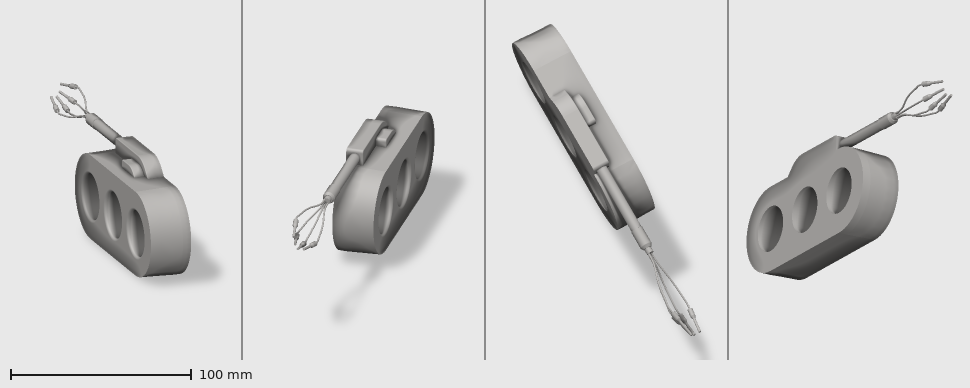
import cadquery as cq
import math


BORE_PITCH = 35.4
BORE_COUNT = 3
END_RADIUS = 25.0
BACK_DEPTH = 4.85
FRONT_DEPTH = 18.75
FRONT_DRAFT = 2.0
BACK_DRAFT = 0.8
BORE_DIAMETER = 26.2
BORE_RIM_FILLET = 1.5

ENTRY_LEFT = -33.0
ENTRY_TOP = 33.9
ENTRY_ARC_START = 2.1
ENTRY_ARC_RADIUS = 16.0
ENTRY_FRONT = -BACK_DEPTH

LUG_LEFT = -7.7
LUG_TOP = 29.5
LUG_ARC_START = 2.8
LUG_ARC_RADIUS = 11.0
LUG_FRONT = -10.7

EMBED_DEPTH = 2.0

LEFT_FILLET = 1.7
FRONT_FILLET = 0.5
RAMP_ANGLE = math.radians(45)
BLOCK_ROOT = END_RADIUS - EMBED_DEPTH

CABLE_Z = 28.75
CABLE_DIAMETER = 6.2
SLEEVE_DIAMETER = 6.9
SLEEVE_RIGHT = -73.0
SLEEVE_LEFT = -83.4
CONE_LEFT = -85.1
CONE_TIP_DIAMETER = 5.0
CORE_DIAMETER = 4.0
CORE_LEFT = -88.3

LEADS = (
    (38.0, 0.985),
    (-32.0, 0.84),
    (-77.0, 1.0),
    (-120.0, 1.03),
)
WIRE_DIAMETER = 1.0
WIRE_START_OFFSET = 1.4
WIRE_PATH = (
    (-95.0, 2.0),
    (-103.0, 5.1),
    (-111.0, 7.4),
    (-119.0, 8.7),
    (-125.4, 8.5),
)
FERRULE_ANGLE = math.radians(15)
COLLAR_DIAMETER = 2.9
COLLAR_LENGTH = 4.6
COLLAR_CONE_LENGTH = 1.7
PIN_DIAMETER = 1.5
PIN_LENGTH = 9.05


def stadium_prism(depth, draft):
    """Rounded-end slab growing from the parting plane toward -Y (or +Y for a negative depth)."""
    straight = BORE_PITCH * (BORE_COUNT - 1)
    outline = cq.Workplane("XZ").slot2D(straight + 2 * END_RADIUS, 2 * END_RADIUS)
    return outline.extrude(depth, taper=draft)


def ramped_block(left, top, arc_start, arc_radius, front, back):
    """Block on top of the housing whose right end curves down into a 45 degree ramp."""
    mid_angle = RAMP_ANGLE / 2
    arc_centre_z = top - arc_radius
    ramp_x = arc_start + arc_radius * math.sin(RAMP_ANGLE)
    ramp_z = arc_centre_z + arc_radius * math.cos(RAMP_ANGLE)
    arc_middle = (
        arc_start + arc_radius * math.sin(mid_angle),
        arc_centre_z + arc_radius * math.cos(mid_angle),
    )
    foot_x = ramp_x + (ramp_z - BLOCK_ROOT) / math.tan(RAMP_ANGLE)
    block = (
        cq.Workplane("XZ", origin=(0, back, 0))
        .moveTo(left, BLOCK_ROOT)
        .lineTo(left, top)
        .lineTo(arc_start, top)
        .threePointArc(arc_middle, (ramp_x, ramp_z))
        .lineTo(foot_x, BLOCK_ROOT)
        .close()
        .extrude(back - front)
    )
    block = block.faces("<X").edges(">Z").fillet(LEFT_FILLET)
    return block.faces("<Y").edges("not <Z").fillet(FRONT_FILLET)


def cable_cylinder(left, right, diameter):
    """Round length of cable along X."""
    disc = cq.Workplane("YZ", origin=(left, 0, CABLE_Z)).circle(diameter / 2)
    return disc.extrude(right - left)


def make_cable():
    cable = cable_cylinder(SLEEVE_RIGHT, ENTRY_LEFT + EMBED_DEPTH, CABLE_DIAMETER)
    sleeve = cable_cylinder(SLEEVE_LEFT, SLEEVE_RIGHT, SLEEVE_DIAMETER)
    core = cable_cylinder(CORE_LEFT, SLEEVE_LEFT, CORE_DIAMETER)
    cone = cq.Workplane(
        cq.Solid.makeCone(
            CONE_TIP_DIAMETER / 2,
            SLEEVE_DIAMETER / 2,
            SLEEVE_LEFT - CONE_LEFT,
            cq.Vector(CONE_LEFT, 0, CABLE_Z),
            cq.Vector(1, 0, 0),
        )
    )
    return cable.union(sleeve).union(cone).union(core)


def make_transformer():
    """Housing with its cable entry and the moulded-in cable."""
    body = stadium_prism(FRONT_DEPTH, FRONT_DRAFT).union(stadium_prism(-BACK_DEPTH, BACK_DRAFT))

    bores = (
        cq.Workplane("XZ", origin=(0, BACK_DEPTH, 0))
        .rarray(BORE_PITCH, 1, BORE_COUNT, 1)
        .circle(BORE_DIAMETER / 2)
        .extrude(BACK_DEPTH + FRONT_DEPTH)
    )
    body = body.cut(bores)
    bore_rims = body.faces("<Y").edges("%CIRCLE").edges(cq.selectors.RadiusNthSelector(0))
    body = bore_rims.fillet(BORE_RIM_FILLET)

    entry = ramped_block(ENTRY_LEFT, ENTRY_TOP, ENTRY_ARC_START, ENTRY_ARC_RADIUS, ENTRY_FRONT, BACK_DEPTH)
    lug = ramped_block(LUG_LEFT, LUG_TOP, LUG_ARC_START, LUG_ARC_RADIUS, LUG_FRONT, 0)
    return body.union(entry).union(lug).union(make_cable())


def make_lead(angle, spread):
    """One wire with its ferrule, bent away from the cable axis in the direction of angle."""
    points = [cq.Vector(CORE_LEFT, 0, CABLE_Z + WIRE_START_OFFSET)]
    points += [cq.Vector(x, 0, CABLE_Z + spread * offset) for x, offset in WIRE_PATH]
    outward = cq.Vector(-math.cos(FERRULE_ANGLE), 0, -math.sin(FERRULE_ANGLE))
    path = cq.Edge.makeSpline(points, tangents=[cq.Vector(-1, 0, 0), outward])
    section = cq.Workplane("YZ", origin=points[0].toTuple()).circle(WIRE_DIAMETER / 2)
    wire = section.sweep(cq.Workplane(path))

    collar_start = points[-1]
    cone_start = collar_start + outward * COLLAR_LENGTH
    pin_start = cone_start + outward * COLLAR_CONE_LENGTH
    collar = cq.Solid.makeCylinder(COLLAR_DIAMETER / 2, COLLAR_LENGTH, collar_start, outward)
    cone = cq.Solid.makeCone(COLLAR_DIAMETER / 2, PIN_DIAMETER / 2, COLLAR_CONE_LENGTH, cone_start, outward)
    pin = cq.Solid.makeCylinder(PIN_DIAMETER / 2, PIN_LENGTH, pin_start, outward)

    lead = wire.union(cq.Workplane(collar)).union(cq.Workplane(cone)).union(cq.Workplane(pin))
    return lead.rotate((0, 0, CABLE_Z), (1, 0, CABLE_Z), angle - 90)


transformer = make_transformer()
leads = [make_lead(angle, spread) for angle, spread in LEADS]

result = cq.Compound.makeCompound([transformer.val(), *[lead.val() for lead in leads]])